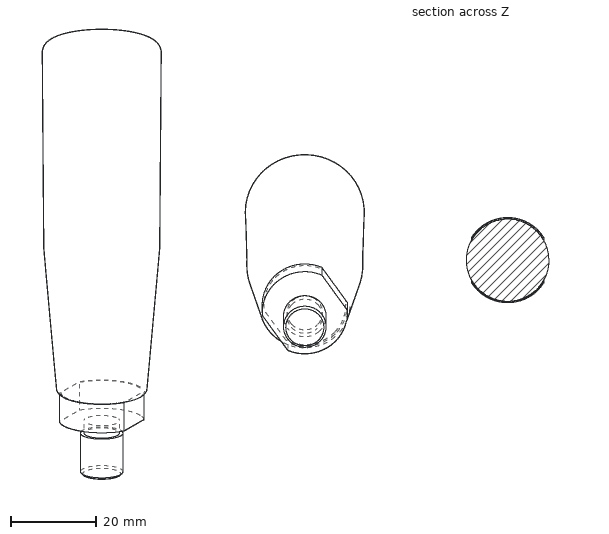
import cadquery as cq

total_height = 105.0
stud_top = 10.0
collar_bottom = 13.0
grip_bottom = 20.0
grip_waist = 55.0

stud_diameter = 10.0
neck_diameter = 8.3
collar_diameter = 20.0
grip_bottom_diameter = 21.1
grip_waist_diameter = 27.2
grip_top_diameter = 27.9

tip_chamfer = 0.5
grip_bottom_fillet = 1.0
grip_top_fillet = 2.0
across_flats = 17.0


def cylinder(diameter, bottom, top):
    """Vertical cylinder on the Z axis between two heights."""
    return cq.Workplane("XY").workplane(offset=bottom).circle(diameter / 2).extrude(top - bottom)


def make_grip():
    """Turned grip: a lower taper and a gentler upper taper with rounded ends."""
    outline = (
        cq.Workplane("XZ")
        .moveTo(0, grip_bottom)
        .lineTo(grip_bottom_diameter / 2, grip_bottom)
        .lineTo(grip_waist_diameter / 2, grip_waist)
        .lineTo(grip_top_diameter / 2, total_height)
        .lineTo(0, total_height)
        .close()
    )
    grip = outline.revolve(360, (0, 0), (0, 1))
    grip = grip.faces(">Z").edges().fillet(grip_top_fillet)
    return grip.faces("<Z").edges().fillet(grip_bottom_fillet)


def make_collar():
    """Round collar with two wrench flats facing -X and +X."""
    collar = cylinder(collar_diameter, collar_bottom, grip_bottom)
    flats = (
        cq.Workplane("XY")
        .workplane(offset=collar_bottom)
        .rect(across_flats, collar_diameter)
        .extrude(grip_bottom - collar_bottom)
    )
    return collar.intersect(flats)


def make_stud():
    """Stud with a chamfered tip and a thinner neck below the collar."""
    stud = cylinder(stud_diameter, 0, stud_top).faces("<Z").edges().chamfer(tip_chamfer)
    return stud.union(cylinder(neck_diameter, stud_top, collar_bottom))


result = make_grip().union(make_collar()).union(make_stud())